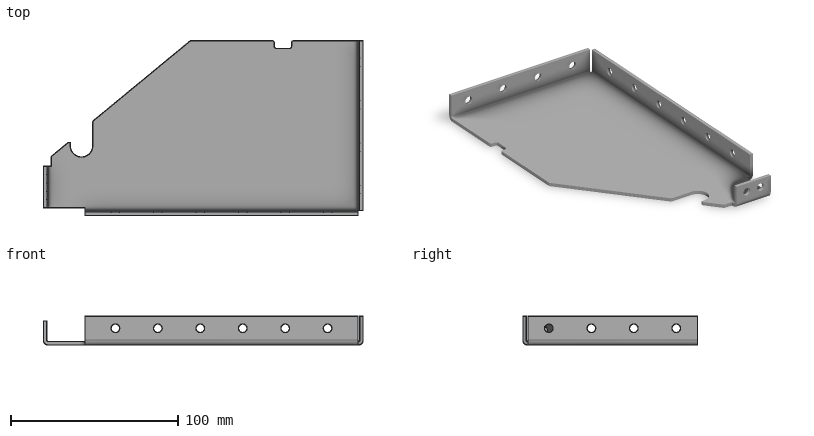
import cadquery as cq
import math

sheet = 2.2
bend_outer = 3.0
bend_inner = bend_outer - sheet

length_x = 191.48
back_y = 104.7
front_bend_x0 = 24.85
flange_height = 17.3
side_bend_x = length_x - bend_outer

tab_y0 = 4.6
tab_width = 25.0
tab_height = 14.6
tab_y1 = tab_y0 + tab_width

shoulder_x = 4.7
shoulder_y = 35.4
slope = math.tan(math.radians(39.5))
slope_foot_radius = 1.4
hook_width = 13.3
hook_radius = hook_width / 2
hook_x = 22.9
hook_y = 41.8
hook_lip_y = 43.8
hook_wall_y = 56.5
notch_x = 143.4
notch_width = 10.3
notch_depth = 4.6
notch_radius = 1.2

hole_diameter = 5.0
flange_hole_pitch = 25.4
flange_hole_z = 10.1
front_hole_count = 6
side_hole_count = 4
side_hole_margin = 12.85
tab_hole_pitch = 10.0
tab_hole_z = 8.95
tab_hole_count = 2


def base_plate():
    lip_x = shoulder_x + (hook_lip_y - shoulder_y) / slope
    hook_left = hook_x - hook_radius
    hook_right = hook_x + hook_radius
    slope_top_x = hook_right + (back_y - hook_wall_y) / slope
    plate = (
        cq.Workplane("XY")
        .moveTo(bend_outer, tab_y0)
        .lineTo(front_bend_x0, tab_y0)
        .lineTo(front_bend_x0, bend_outer)
        .lineTo(side_bend_x, bend_outer)
        .lineTo(side_bend_x, back_y)
        .lineTo(slope_top_x, back_y)
        .lineTo(hook_right, hook_wall_y)
        .lineTo(hook_right, hook_y)
        .threePointArc((hook_x, hook_y - hook_radius), (hook_left, hook_y))
        .lineTo(hook_left, hook_lip_y)
        .lineTo(lip_x, hook_lip_y)
        .lineTo(shoulder_x, shoulder_y)
        .lineTo(shoulder_x, tab_y1)
        .lineTo(bend_outer, tab_y1)
        .close()
        .extrude(sheet)
    )
    for x, y in ((shoulder_x, shoulder_y), (hook_right, hook_wall_y)):
        foot = cq.selectors.NearestToPointSelector((x, y, sheet / 2))
        plate = plate.edges("|Z").edges(foot).fillet(slope_foot_radius)
    return cut_notch(plate)


def cut_notch(plate):
    notch = (
        cq.Workplane("XY")
        .center(notch_x, back_y)
        .rect(notch_width, 2 * notch_depth)
        .extrude(sheet)
        .edges("|Z")
        .fillet(notch_radius)
    )
    mouth = cq.selectors.BoxSelector(
        (notch_x - notch_width, back_y - notch_radius, -sheet),
        (notch_x + notch_width, back_y + notch_radius, 2 * sheet),
    )
    return plate.cut(notch).edges("|Z").edges(mouth).fillet(notch_radius)


def bent_flange(height, length):
    """Flange bending up toward +X from the bend line X = 0, Z = 0; runs from Y = 0 to Y = length."""
    profile = (
        cq.Workplane("XZ")
        .radiusArc((bend_outer, bend_outer), -bend_outer)
        .lineTo(bend_outer, height)
        .lineTo(bend_outer - sheet, height)
        .lineTo(bend_outer - sheet, bend_outer)
        .radiusArc((0, sheet), bend_inner)
        .close()
    )
    return profile.extrude(-length)


def row(centre, pitch, count):
    """Evenly spaced places, symmetric about the centre."""
    return [centre + pitch * (i - (count - 1) / 2) for i in range(count)]


def cross_holes(plane, positions, z, start, depth):
    """Round cutters along the plane normal, at the given places along the flange."""
    return (
        cq.Workplane(plane)
        .workplane(offset=start)
        .pushPoints([(p, z) for p in positions])
        .circle(hole_diameter / 2)
        .extrude(depth)
    )


def front_flange():
    length = side_bend_x - front_bend_x0
    flange = (
        bent_flange(flange_height, length)
        .rotate((0, 0, 0), (0, 0, 1), -90)
        .translate((front_bend_x0, bend_outer, 0))
    )
    places = row(front_bend_x0 + length / 2, flange_hole_pitch, front_hole_count)
    return flange.cut(cross_holes("XZ", places, flange_hole_z, -bend_outer, bend_outer))


def side_flange():
    length = back_y - bend_outer
    flange = bent_flange(flange_height, length).translate((side_bend_x, bend_outer, 0))
    places = [back_y - side_hole_margin - i * flange_hole_pitch for i in range(side_hole_count)]
    return flange.cut(cross_holes("YZ", places, flange_hole_z, side_bend_x, 2 * bend_outer))


def end_tab():
    tab = (
        bent_flange(tab_height, tab_width)
        .rotate((0, 0, 0), (0, 0, 1), 180)
        .translate((bend_outer, tab_y1, 0))
    )
    places = row(tab_y0 + tab_width / 2, tab_hole_pitch, tab_hole_count)
    return tab.cut(cross_holes("YZ", places, tab_hole_z, 0, bend_outer))


result = base_plate().union(front_flange()).union(side_flange()).union(end_tab())